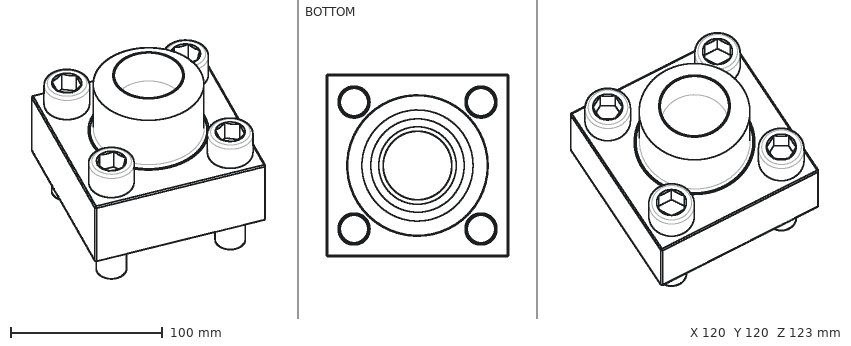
import cadquery as cq
import math

TOTAL_HEIGHT = 123.0
EDGE_BREAK = 1.0

SCREW_DIA = 20.0
SCREW_TIP_LENGTH = 26.8
SCREW_SPACING = 83.5
SCREW_OFFSET = SCREW_SPACING / 2
HEAD_DIA = 30.0
HEAD_HEIGHT = SCREW_DIA
HEAD_ROUND = 2.0
SOCKET_CORNER_DIA = 19.7
SOCKET_DEPTH = 13.5
SOCKET_LEAD_IN_ANGLE = 30.0

FLANGE_WIDTH = 120.0
FLANGE_THICKNESS = 48.2
FLANGE_BOTTOM = SCREW_TIP_LENGTH
FLANGE_TOP = FLANGE_BOTTOM + FLANGE_THICKNESS
FLANGE_BORE_DIA = 77.5
FLANGE_RECESS_DIA = 93.0
SCREW_HOLE_DIA = 21.0

NECK_DIA = 73.0
NECK_FOOT_DIA = 77.0
NECK_FOOT_FILLET = (NECK_FOOT_DIA - NECK_DIA) / 2
COLLAR_DIA = 92.0
COLLAR_PROJECTION = 1.7
COLLAR_BOTTOM = FLANGE_BOTTOM - COLLAR_PROJECTION
COLLAR_TOP = FLANGE_BOTTOM + FLANGE_THICKNESS / 2
PIPE_BORE_DIA = 45.0
PIPE_BORE_DEPTH = 24.2
PORT_DIA = 51.0
END_LAND = 1.0
END_DIA = PIPE_BORE_DIA + 2 * END_LAND
WELD_BEVEL_ANGLE = 30.0
WELD_BEVEL_HEIGHT = (NECK_DIA - END_DIA) / 2 * math.tan(math.radians(WELD_BEVEL_ANGLE))

GROOVE_INNER_DIA = 61.5
GROOVE_OUTER_DIA = 73.2
SEAL_SECTION_DIA = (GROOVE_OUTER_DIA - GROOVE_INNER_DIA) / 2
SEAL_CENTRE_RADIUS = (GROOVE_OUTER_DIA + GROOVE_INNER_DIA) / 4
SEAL_PROJECTION = 1.5
GROOVE_DEPTH = SEAL_SECTION_DIA - SEAL_PROJECTION

SCREW_POINTS = [
    (SCREW_OFFSET, SCREW_OFFSET),
    (-SCREW_OFFSET, SCREW_OFFSET),
    (-SCREW_OFFSET, -SCREW_OFFSET),
    (SCREW_OFFSET, -SCREW_OFFSET),
]


def cylinder(diameter, bottom, top):
    """Upright cylinder on the Z axis between two heights."""
    return cq.Workplane("XY").workplane(offset=bottom).circle(diameter / 2).extrude(top - bottom)


def cone(bottom_diameter, top_diameter, bottom, top):
    """Upright cone on the Z axis between two heights."""
    solid = cq.Solid.makeCone(
        bottom_diameter / 2, top_diameter / 2, top - bottom, pnt=cq.Vector(0, 0, bottom)
    )
    return cq.Workplane("XY").add(solid)


def make_flange():
    """Square block with a stepped bore for the neck and four screw holes."""
    block = (
        cq.Workplane("XY")
        .workplane(offset=FLANGE_BOTTOM)
        .rect(FLANGE_WIDTH, FLANGE_WIDTH)
        .extrude(FLANGE_THICKNESS)
        .edges()
        .chamfer(EDGE_BREAK)
    )
    bore = cylinder(FLANGE_BORE_DIA, FLANGE_BOTTOM, FLANGE_TOP)
    recess = cylinder(FLANGE_RECESS_DIA, FLANGE_BOTTOM, COLLAR_TOP)
    bore_chamfer = cone(
        FLANGE_BORE_DIA, FLANGE_BORE_DIA + 2 * EDGE_BREAK, FLANGE_TOP - EDGE_BREAK, FLANGE_TOP
    )
    screw_holes = (
        cq.Workplane("XY")
        .workplane(offset=FLANGE_BOTTOM)
        .pushPoints(SCREW_POINTS)
        .circle(SCREW_HOLE_DIA / 2)
        .extrude(FLANGE_THICKNESS)
    )
    return block.cut(bore).cut(recess).cut(bore_chamfer).cut(screw_holes)


def make_neck():
    """Turned weld neck: bevelled end, filleted foot, collar, flared bore and seal groove."""
    fillet_top = FLANGE_TOP + NECK_FOOT_FILLET
    fillet_sag = NECK_FOOT_FILLET * (1 - math.sqrt(0.5))
    profile = (
        cq.Workplane("XZ")
        .moveTo(PORT_DIA / 2, COLLAR_BOTTOM)
        .lineTo(COLLAR_DIA / 2, COLLAR_BOTTOM)
        .lineTo(COLLAR_DIA / 2, COLLAR_TOP)
        .lineTo(NECK_FOOT_DIA / 2, COLLAR_TOP)
        .lineTo(NECK_FOOT_DIA / 2, FLANGE_TOP)
        .threePointArc(
            (NECK_DIA / 2 + fillet_sag, FLANGE_TOP + fillet_sag),
            (NECK_DIA / 2, fillet_top),
        )
        .lineTo(NECK_DIA / 2, TOTAL_HEIGHT - WELD_BEVEL_HEIGHT)
        .lineTo(END_DIA / 2, TOTAL_HEIGHT)
        .lineTo(PIPE_BORE_DIA / 2, TOTAL_HEIGHT)
        .lineTo(PIPE_BORE_DIA / 2, TOTAL_HEIGHT - PIPE_BORE_DEPTH)
        .close()
    )
    body = profile.revolve(360, (0, 0), (0, 1))
    groove_top = COLLAR_BOTTOM + GROOVE_DEPTH
    groove = cylinder(GROOVE_OUTER_DIA, COLLAR_BOTTOM, groove_top).cut(
        cylinder(GROOVE_INNER_DIA, COLLAR_BOTTOM, groove_top)
    )
    return body.cut(groove)


def make_seal():
    """Round-section seal ring seated in the groove of the collar."""
    seal_height = COLLAR_BOTTOM + GROOVE_DEPTH - SEAL_SECTION_DIA / 2
    return (
        cq.Workplane("XZ")
        .center(SEAL_CENTRE_RADIUS, seal_height)
        .circle(SEAL_SECTION_DIA / 2)
        .revolve(360, (-SEAL_CENTRE_RADIUS, 0), (-SEAL_CENTRE_RADIUS, 1))
    )


def make_screw(position, socket_turn):
    """Socket head cap screw, its hexagon turned by socket_turn degrees about its axis."""
    head_top = FLANGE_TOP + HEAD_HEIGHT
    shank = cylinder(SCREW_DIA, 0, FLANGE_TOP).faces("<Z").chamfer(EDGE_BREAK)
    head = cylinder(HEAD_DIA, FLANGE_TOP, head_top).edges().fillet(HEAD_ROUND)
    socket = (
        cq.Workplane("XY")
        .workplane(offset=head_top - SOCKET_DEPTH)
        .polygon(6, SOCKET_CORNER_DIA)
        .extrude(SOCKET_DEPTH)
    )
    lead_in_depth = SOCKET_CORNER_DIA / 2 * math.tan(math.radians(SOCKET_LEAD_IN_ANGLE))
    lead_in = cone(0, SOCKET_CORNER_DIA, head_top - lead_in_depth, head_top)
    screw = shank.union(head).cut(socket).cut(lead_in)
    return screw.rotate((0, 0, 0), (0, 0, 1), socket_turn).translate((*position, 0))


flange = make_flange()
neck = make_neck()
seal = make_seal()
screws = [make_screw(point, 90 * index) for index, point in enumerate(SCREW_POINTS)]

result = cq.Compound.makeCompound(
    [flange.val(), neck.val(), seal.val(), *[screw.val() for screw in screws]]
)